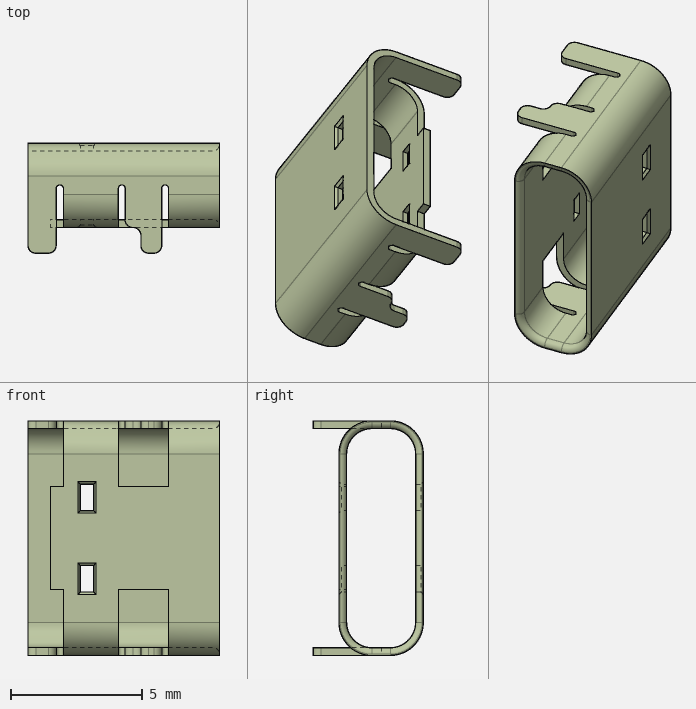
import cadquery as cq

length = 7.3
depth = 3.22
height = 8.94
wall = 0.3
bend_radius = 1.26
mouth_radius = 0.25

foot_reach = 0.98
foot_radius = 0.3
foot_left_width = 1.08
shoulder_left = 3.7
foot_right_left = shoulder_left + 2 * foot_radius
foot_right_end = 5.1

slot_end_from_back = 1.6
slot_end_y = depth - slot_end_from_back
slot_left_width = 0.27
slot_width = 0.25

opening_half_height = 1.96
tongue_left = 0.87

window_x = 2.25
window_z = 1.55
window_width = 0.5
window_height = 1.0
window_chamfer = 0.1

front_left = foot_left_width + slot_left_width
opening_left = shoulder_left - slot_width
opening_right = foot_right_end + slot_width
half_height = height / 2
flat_front_y = bend_radius
sides = (-1, 1)


def block(x_start, x_end, y_start, y_end, z_start, z_end):
    """Axis-aligned box given by its limits."""
    size = (x_end - x_start, y_end - y_start, z_end - z_start)
    return cq.Workplane("XY").box(*size, centered=False).translate((x_start, y_start, z_start))


def tube():
    """Closed rounded tube with its inner rim rounded at the +X mouth."""
    outer = (
        block(0, length, 0, depth, -half_height, half_height)
        .edges("|X")
        .fillet(bend_radius)
    )
    inner = (
        block(0, length, wall, depth - wall, wall - half_height, half_height - wall)
        .edges("|X")
        .fillet(bend_radius - wall)
    )
    body = outer.cut(inner)
    inner_rim = body.faces(">X").val().innerWires()[0].Edges()
    return body.newObject(inner_rim).fillet(mouth_radius)


def front_opening(x_start, x_end):
    """Cutter removing the front wall and bends outside the centre strip."""
    cutter = block(x_start, x_end, 0, flat_front_y, -half_height, half_height)
    strip = block(x_start, x_end, 0, flat_front_y, -opening_half_height, opening_half_height)
    return cutter.cut(strip)


def relief_slot(x_start, x_end):
    """Cutter for a slot in the top and bottom walls with a full-radius end."""
    radius = (x_end - x_start) / 2
    straight = block(x_start, x_end, flat_front_y, slot_end_y - radius, -half_height, half_height)
    rounded_end = (
        cq.Workplane("XY")
        .center(x_start + radius, slot_end_y - radius)
        .circle(radius)
        .extrude(half_height, both=True)
    )
    return straight.union(rounded_end)


def left_foot():
    """Straight foot at the left end, flat on Z = 0."""
    return (
        block(0, foot_left_width, -foot_reach, flat_front_y, 0, wall)
        .edges("|Z and <Y")
        .fillet(foot_radius)
    )


def right_foot():
    """Narrow foot with a wider shouldered root, flat on Z = 0."""
    tip = (
        block(foot_right_left, foot_right_end, -foot_reach, flat_front_y, 0, wall)
        .edges("|Z and <Y")
        .fillet(foot_radius)
    )
    root = (
        block(shoulder_left, foot_right_end, 0, flat_front_y, 0, wall)
        .edges("|Z and <Y and <X")
        .fillet(foot_radius)
    )
    corner_x = foot_right_left - foot_radius
    web = (
        block(corner_x, foot_right_left, -foot_radius, 0, 0, wall)
        .cut(
            cq.Workplane("XY")
            .center(corner_x, -foot_radius)
            .circle(foot_radius)
            .extrude(wall)
        )
    )
    return tip.union(root).union(web)


def window(z_centre):
    """Cutter for a window through both walls, chamfered at both outer faces."""
    opening = block(
        window_x - window_width / 2,
        window_x + window_width / 2,
        -window_chamfer,
        depth + window_chamfer,
        z_centre - window_height / 2,
        z_centre + window_height / 2,
    )
    front_flare = (
        cq.Workplane("XZ")
        .center(window_x, z_centre)
        .rect(window_width + 2 * window_chamfer, window_height + 2 * window_chamfer)
        .workplane(offset=-window_chamfer)
        .rect(window_width, window_height)
        .loft()
    )
    mid_depth = (0, depth / 2, 0)
    back_flare = front_flare.mirror("XZ", mid_depth)
    return opening.union(front_flare).union(back_flare)


def shell():
    """Tube with the front wall cut away around the feet and the windows pierced."""
    body = tube()

    body = body.cut(block(0, tongue_left, 0, flat_front_y, -half_height, half_height))
    body = body.cut(front_opening(tongue_left, front_left))
    body = body.cut(front_opening(opening_left, opening_right))

    body = body.cut(relief_slot(foot_left_width, front_left))
    body = body.cut(relief_slot(opening_left, shoulder_left))
    body = body.cut(relief_slot(foot_right_end, opening_right))

    for side in sides:
        body = body.cut(window(side * window_z))
    return body


def add_feet(body):
    """Join both feet to the top wall and to the bottom wall."""
    feet = left_foot().union(right_foot())
    for foot_base in (half_height - wall, -half_height):
        body = body.union(feet.translate((0, 0, foot_base)))
    return body


result = add_feet(shell())